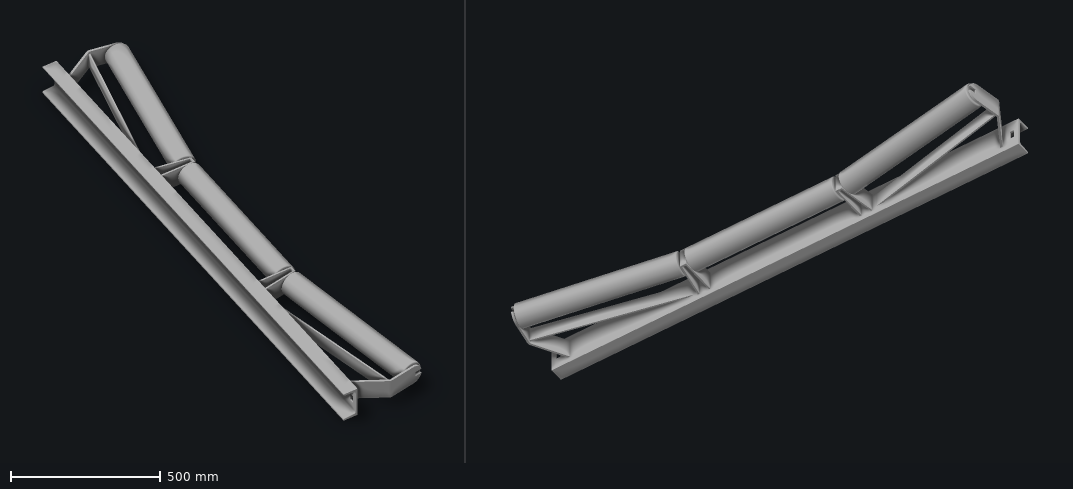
import cadquery as cq
import math


overall_half_length = 1913.73 / 2
overall_depth = 323.55
tilt = math.radians(10)

beam_length = 1900
beam_height = 120
flange_width = 55
web_thickness = 7
flange_thickness = 9
flange_slope = 0.08
flange_root_radius = 9
flange_tip_radius = 4.5
slot_width = 18
slot_height = 30
slot_end_distance = 27

roller_diameter = 89
roller_length = 600
roller_radius = roller_diameter / 2
center_roller_y = 117
roller_edge_radius = 4
axle_diameter = 25
axle_tang = 18
axle_gap = 4

bracket_width = 75

outer_strip = 8
outer_bend_y = 130
outer_bend_radius = 16
outer_foot_angle = math.radians(30)

inner_strip = 6
inner_top_y = 144
bridge_thickness = 8

brace_thickness = 6
brace_width = 56
brace_angle = math.radians(13)
brace_top_y = 133


def along(point, direction, distance):
    """The point reached by going a distance along a direction."""
    return (point[0] + distance * direction[0], point[1] + distance * direction[1])


def meet(point_a, direction_a, point_b, direction_b):
    """Where two lines, each a point and a direction, cross."""
    cross = direction_a[0] * direction_b[1] - direction_a[1] * direction_b[0]
    dx = point_b[0] - point_a[0]
    dy = point_b[1] - point_a[1]
    return along(point_a, direction_a, (dx * direction_b[1] - dy * direction_b[0]) / cross)


def strip(points, width):
    """A strip with the given edge outline in XY, centred across Z."""
    return cq.Workplane("XY").polyline(points).close().extrude(width / 2, both=True)


x_axis = (1, 0)
beam_back = (0, 0)
axis_inward = (math.cos(tilt), -math.sin(tilt))
axis_up = (math.sin(tilt), math.cos(tilt))
foot_down = (math.sin(outer_foot_angle), -math.cos(outer_foot_angle))

outer_bend = (-overall_half_length + outer_bend_radius, outer_bend_y)
outer_arm_start = along(outer_bend, axis_inward, -outer_bend_radius)
outer_arm_inside = along(outer_arm_start, axis_inward, outer_strip)
edge_rise = (roller_radius - roller_edge_radius) * math.cos(tilt)
edge_rise += roller_edge_radius * (1 - math.sin(tilt))
roller_end_y = overall_depth - flange_width - edge_rise
roller_end_line = along(outer_arm_inside, axis_inward, axle_gap)
side_roller_end = meet(roller_end_line, axis_up, (0, roller_end_y), x_axis)
side_roller_center = along(side_roller_end, axis_inward, roller_length / 2)
side_plane = cq.Plane(
    origin=(*side_roller_center, 0),
    xDir=(-axis_up[0], -axis_up[1], 0),
    normal=(*axis_inward, 0),
)
center_plane = cq.Plane(origin=(0, center_roller_y, 0), xDir=(0, 0, 1), normal=(1, 0, 0))
roller_half = roller_length / 2
bracket_reach = roller_half + axle_gap


def make_beam():
    """Channel open towards -Y, with a slot through the web near each end."""
    half_height = beam_height / 2
    half_width = flange_width / 2
    taper = half_width * flange_slope
    root_taper = (half_width - web_thickness) * flange_slope
    tip_z = half_height - flange_thickness + taper
    root_z = half_height - flange_thickness - root_taper
    outline = [
        (0, -half_height),
        (-flange_width, -half_height),
        (-flange_width, -tip_z),
        (-web_thickness, -root_z),
        (-web_thickness, root_z),
        (-flange_width, tip_z),
        (-flange_width, half_height),
        (0, half_height),
    ]
    beam = cq.Workplane("YZ").polyline(outline).close().extrude(beam_length / 2, both=True)
    root_corners = cq.selectors.BoxSelector(
        (-beam_length, -1.5 * web_thickness, -half_height),
        (beam_length, -0.5 * web_thickness, half_height),
    )
    tip_corners = cq.selectors.BoxSelector(
        (-beam_length, -1.5 * flange_width, -tip_z - flange_thickness / 2),
        (beam_length, -0.5 * flange_width, tip_z + flange_thickness / 2),
    )
    beam = beam.edges("|X").edges(root_corners).fillet(flange_root_radius)
    beam = beam.edges("|X").edges(tip_corners).fillet(flange_tip_radius)
    slot_x = beam_length / 2 - slot_end_distance
    slots = (
        cq.Workplane("XZ")
        .pushPoints([(-slot_x, 0), (slot_x, 0)])
        .rect(slot_width, slot_height)
        .extrude(web_thickness)
    )
    return beam.cut(slots)


def make_tang(plane, start_strip, end_strip):
    """The square bar through a roller and the brackets at its two ends."""
    return (
        cq.Workplane(plane)
        .workplane(offset=-bracket_reach - start_strip)
        .rect(axle_tang, axle_tang)
        .extrude(2 * bracket_reach + start_strip + end_strip)
    )


def make_roller(plane, tang):
    """A roller with its axle; the axle's square ends lie flush with the brackets' far faces."""
    shell = cq.Workplane(plane).workplane(offset=-roller_half)
    shell = shell.circle(roller_radius).extrude(roller_length).edges().fillet(roller_edge_radius)
    axle = cq.Workplane(plane).workplane(offset=-bracket_reach)
    axle = axle.circle(axle_diameter / 2).extrude(2 * bracket_reach)
    return shell.union(axle).union(tang)


def make_outer_bracket():
    """Bent strip: a sloping foot on the beam and an arm square to the side roller's axis."""
    foot_inward = (-foot_down[1], foot_down[0])
    foot_start = along(outer_bend, foot_inward, -outer_bend_radius)
    foot_inside = along(foot_start, foot_inward, outer_strip)
    bend_outermost = along(outer_bend, x_axis, -outer_bend_radius)
    bend_inside = along(bend_outermost, x_axis, outer_strip)
    foot_and_bend = (
        cq.Workplane("XY")
        .moveTo(*outer_arm_inside)
        .lineTo(*outer_arm_start)
        .threePointArc(bend_outermost, foot_start)
        .lineTo(*meet(foot_start, foot_down, beam_back, x_axis))
        .lineTo(*meet(foot_inside, foot_down, beam_back, x_axis))
        .lineTo(*foot_inside)
        .threePointArc(bend_inside, outer_arm_inside)
        .close()
        .extrude(bracket_width / 2, both=True)
    )

    axis_point = meet(outer_arm_start, axis_up, side_roller_center, axis_inward)
    arm_length = math.dist(outer_arm_start, axis_point)
    half_width = bracket_width / 2
    arm_plane = cq.Plane(
        origin=(*axis_point, 0), xDir=(-axis_up[0], -axis_up[1], 0), normal=(*axis_inward, 0)
    )
    arm = (
        cq.Workplane(arm_plane)
        .moveTo(arm_length, -half_width)
        .lineTo(0, -half_width)
        .threePointArc((-half_width, 0), (0, half_width))
        .lineTo(arm_length, half_width)
        .close()
        .extrude(outer_strip)
    )
    slot_length = half_width + axle_tang / 2
    slot = (
        cq.Workplane(arm_plane)
        .center(axle_tang / 2 - slot_length / 2, 0)
        .rect(slot_length, axle_tang)
        .extrude(outer_strip)
    )
    return foot_and_bend.union(arm).cut(slot)


def make_inner_bracket(tangs):
    """Inverted U: a tilted leg for the side roller, a bridge and an upright leg."""
    tilted_near = along(side_roller_center, axis_inward, bracket_reach)
    tilted_far = along(tilted_near, axis_inward, inner_strip)
    upright_near_x = -bracket_reach
    upright_far_x = upright_near_x - inner_strip
    top = (0, inner_top_y)
    under_bridge = (0, inner_top_y - bridge_thickness)
    outline = [
        meet(tilted_near, axis_up, beam_back, x_axis),
        meet(tilted_near, axis_up, top, x_axis),
        (upright_near_x, inner_top_y),
        (upright_near_x, 0),
        (upright_far_x, 0),
        (upright_far_x, under_bridge[1]),
        meet(tilted_far, axis_up, under_bridge, x_axis),
        meet(tilted_far, axis_up, beam_back, x_axis),
    ]
    bracket = strip(outline, bracket_width)
    for tang in tangs:
        bracket = bracket.cut(tang)
    return bracket


def make_brace(bracket):
    """Flat bar from the outer bracket's inside, shaped to its bend, down to the beam's back."""
    brace_down = (math.cos(brace_angle), -math.sin(brace_angle))
    brace_under = (-math.sin(brace_angle), -math.cos(brace_angle))
    upper = meet(outer_arm_inside, axis_up, (0, brace_top_y), x_axis)
    lower = along(upper, brace_under, brace_thickness)
    outline = [
        upper,
        meet(lower, brace_down, outer_arm_inside, axis_up),
        meet(lower, brace_down, beam_back, x_axis),
        meet(upper, brace_down, beam_back, x_axis),
    ]
    return strip(outline, brace_width).cut(bracket)


side_tang = make_tang(side_plane, outer_strip, inner_strip)
center_tang = make_tang(center_plane, inner_strip, inner_strip)

beam = make_beam()
center_roller = make_roller(center_plane, center_tang)
outer_bracket = make_outer_bracket()
left_bodies = [
    make_roller(side_plane, side_tang),
    outer_bracket,
    make_inner_bracket([side_tang, center_tang]),
    make_brace(outer_bracket),
]
right_bodies = [body.mirror("YZ") for body in left_bodies]

result = cq.Compound.makeCompound(
    [body.solids().val() for body in [beam, center_roller, *left_bodies, *right_bodies]]
)